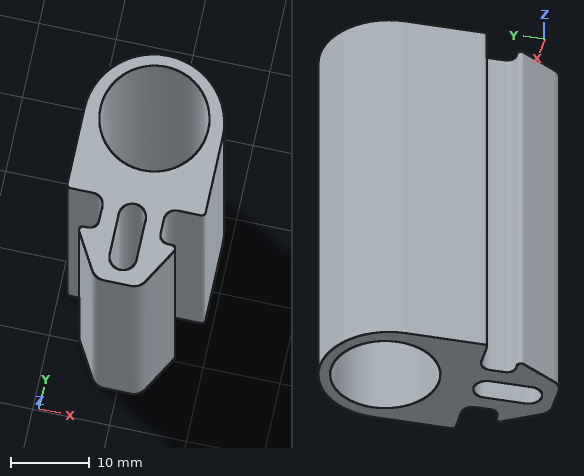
import cadquery as cq
import math

length = 50.0
total_depth = 30.75
body_width = 18.0

body_base_y = 11.0
crown_radius = body_width / 2
crown_center_y = total_depth - crown_radius
body_corner_radius = 0.5

bore_radius = 7.0
crown_wall = 1.5
bore_center_y = total_depth - crown_wall - bore_radius

neck_width = 8.0
neck_upper_radius = 1.5
neck_lower_radius = 1.2
barb_top_y = 6.4
barb_width = 13.2
barb_flank_angle = 30.0
barb_tip_radius = 0.5
toe_radius = 2.0

slot_width = 3.5
slot_bottom_y = 1.8
slot_top_y = 10.7


def round_edges(solid, x, y, radius):
    """Fillet the mirrored pair of lengthwise edges at (+x, y) and (-x, y)."""
    margin = 0.025
    for side_x in (x, -x):
        selector = cq.selectors.BoxSelector(
            (side_x - margin, y - margin, 0),
            (side_x + margin, y + margin, length),
        )
        solid = solid.edges("|Z").edges(selector).fillet(radius)
    return solid


half_body = body_width / 2
half_neck = neck_width / 2
half_barb = barb_width / 2
half_toe = half_barb - barb_top_y * math.tan(math.radians(barb_flank_angle))

profile = (
    cq.Workplane("XY")
    .moveTo(-half_toe, 0)
    .lineTo(half_toe, 0)
    .lineTo(half_barb, barb_top_y)
    .lineTo(half_neck, barb_top_y)
    .lineTo(half_neck, body_base_y)
    .lineTo(half_body, body_base_y)
    .lineTo(half_body, crown_center_y)
    .threePointArc((0, total_depth), (-half_body, crown_center_y))
    .lineTo(-half_body, body_base_y)
    .lineTo(-half_neck, body_base_y)
    .lineTo(-half_neck, barb_top_y)
    .lineTo(-half_barb, barb_top_y)
    .close()
)
strip = profile.extrude(length)

strip = round_edges(strip, half_body, body_base_y, body_corner_radius)
strip = round_edges(strip, half_neck, body_base_y, neck_upper_radius)
strip = round_edges(strip, half_neck, barb_top_y, neck_lower_radius)
strip = round_edges(strip, half_barb, barb_top_y, barb_tip_radius)
strip = round_edges(strip, half_toe, 0, toe_radius)

bore = cq.Workplane("XY").center(0, bore_center_y).circle(bore_radius).extrude(length)
slot = (
    cq.Workplane("XY")
    .center(0, (slot_bottom_y + slot_top_y) / 2)
    .slot2D(slot_top_y - slot_bottom_y, slot_width, 90)
    .extrude(length)
)
result = strip.cut(bore).cut(slot)